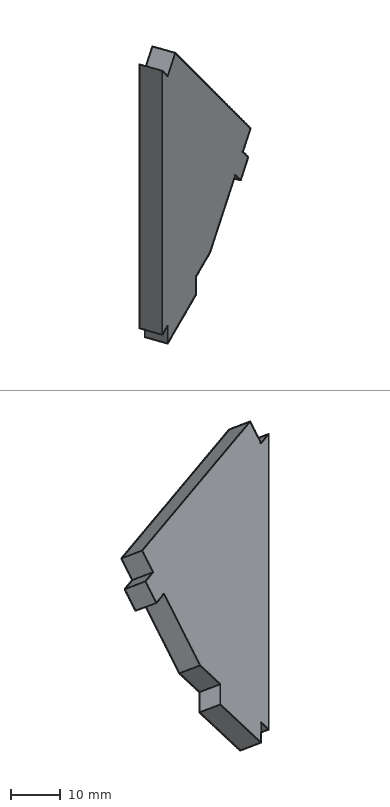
import cadquery as cq
import math

thickness = 5.0
height = 78.8
depth = 47.1
slope_angle = 35.0
tab_size = 5.0
base_z = 5.05
foot_start = 2.8
foot_width = 15.2

slope = math.radians(slope_angle)
down = (math.sin(slope), -math.cos(slope))
outward = (math.cos(slope), math.sin(slope))


def step(point, direction, distance):
    return (point[0] + direction[0] * distance, point[1] + direction[1] * distance)


tip = (0, height)
notch_inner = step(tip, down, tab_size)
slope_top = step(notch_inner, outward, tab_size)

slope_length = (depth - slope_top[0]) / down[0]
slope_bottom = step(slope_top, down, slope_length)

tab_outer_root = step(slope_bottom, outward, -tab_size)
tab_outer_end = step(tab_outer_root, down, tab_size)
tab_inner_end = step(tab_outer_end, outward, -tab_size)
tab_inner_root = step(tab_inner_end, down, -tab_size)

oblique_length = (tab_inner_root[1] - base_z) / outward[1]
base_corner = step(tab_inner_root, outward, -oblique_length)

foot_end = foot_start + foot_width
outline = [
    tip,
    notch_inner,
    slope_top,
    slope_bottom,
    tab_outer_root,
    tab_outer_end,
    tab_inner_end,
    tab_inner_root,
    base_corner,
    (foot_end, base_z),
    (foot_end, 0),
    (foot_start, 0),
    (foot_start, base_z),
    (0, base_z),
]

result = cq.Workplane("YZ").polyline(outline).close().extrude(thickness)